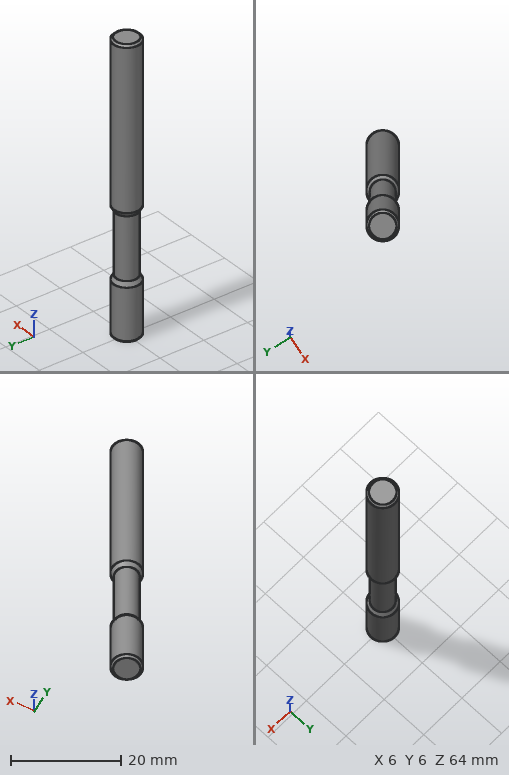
import cadquery as cq
import math

total_length = 64.0
shank_diameter = 6.0
neck_diameter = 4.75
head_diameter = 5.95
end_chamfer = 0.5
head_length = 13.0
shank_length = 36.0
taper_half_angle = math.radians(30)

shank_radius = shank_diameter / 2
neck_radius = neck_diameter / 2
head_radius = head_diameter / 2

head_taper_bottom = head_length - (head_radius - neck_radius) / math.tan(taper_half_angle)
shank_taper_top = total_length - shank_length
neck_top = shank_taper_top - (shank_radius - neck_radius) / math.tan(taper_half_angle)


def pin_half_profile():
    """Half section through the axis, revolved into the stepped pin."""
    return (
        cq.Workplane("XZ")
        .moveTo(0, 0)
        .lineTo(head_radius - end_chamfer, 0)
        .lineTo(head_radius, end_chamfer)
        .lineTo(head_radius, head_taper_bottom)
        .lineTo(neck_radius, head_length)
        .lineTo(neck_radius, neck_top)
        .lineTo(shank_radius, shank_taper_top)
        .lineTo(shank_radius, total_length - end_chamfer)
        .lineTo(shank_radius - end_chamfer, total_length)
        .lineTo(0, total_length)
        .close()
    )


result = pin_half_profile().revolve(360, (0, 0, 0), (0, 1, 0))